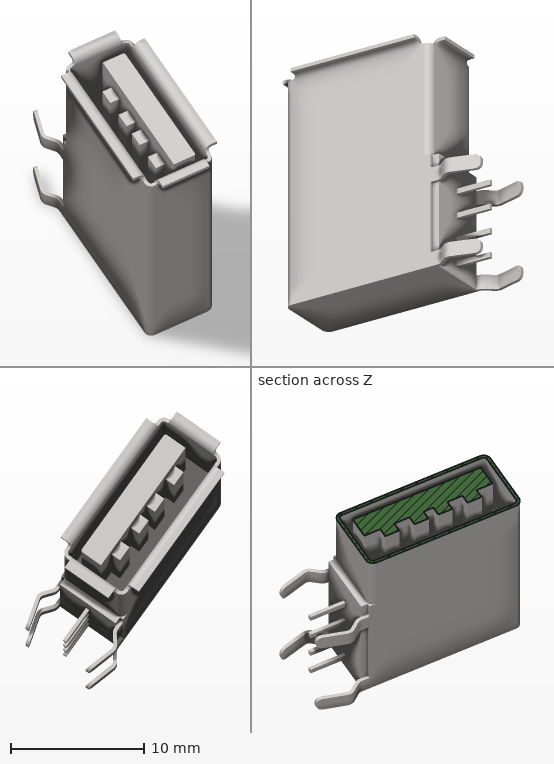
import cadquery as cq
import math


height = 19.2
shell_x = 13.1
shell_y = 5.7
sheet = 0.29
corner_radius = 0.58
inner_corner_radius = corner_radius - sheet
inner_x = shell_x - 2 * sheet
inner_y = shell_y - 2 * sheet

lip_overhang = 0.75
lip_bend_outer = 0.58
lip_bend_inner = lip_bend_outer - sheet
lip_length_x = 11.14
lip_length_y = 4.03
notch_depth = 0.6
notch_radius = 0.35
bend_start_z = height - lip_bend_outer
notch_z = height - notch_depth

housing_top = 9.33
housing_left = -7.12

tongue_x = 10.98
tongue_back = 1.82
tongue_front = -0.05
tongue_top = 18.6
tongue_corner_radius = 0.15
contact_width = 1.23
contact_front = -0.85
contact_top = 17.07
contact_inner_x = 1.02
contact_outer_x = 3.51

pin_tip = -10.14
pin_y = 0.29
pin_z = 0.42
pin_first_z = 1.13
pin_pitch = 2.0
pin_count = 4

leg_tip = -11.12
leg_width = 1.2
leg_bottoms = (0.0, 6.99)
leg_root_bend_x = -7.41
leg_knee_x = -8.45
leg_rise_angle = math.radians(38.5)
leg_return_angle = math.radians(16)
leg_root_radius = 0.58
leg_knee_radius = 0.46
leg_tip_radius = 0.48
leg_shoulder_radius = 0.15


def box(x0, x1, y0, y1, z0, z1):
    """Box given by its limits along each axis."""
    return cq.Workplane("XY").box(x1 - x0, y1 - y0, z1 - z0, centered=False).translate((x0, y0, z0))


def rounded_block(size_x, size_y, radius, z0, z1):
    """Upright centred block with rounded vertical edges."""
    block = box(-size_x / 2, size_x / 2, -size_y / 2, size_y / 2, z0, z1)
    return block.edges("|Z").fillet(radius)


def lip(wall_offset, length):
    """Lip along X that bends outward from a wall whose outer face is at y = -wall_offset."""
    tip = -wall_offset - lip_overhang
    bend_y = -wall_offset - lip_bend_inner
    diagonal = math.sqrt(0.5)
    under_mid = (bend_y + lip_bend_inner * diagonal, bend_start_z + lip_bend_inner * diagonal)
    top_mid = (bend_y + lip_bend_outer * diagonal, bend_start_z + lip_bend_outer * diagonal)
    strip_length = length + 2 * notch_radius
    return (
        cq.Workplane("YZ")
        .moveTo(-wall_offset, bend_start_z)
        .threePointArc(under_mid, (bend_y, height - sheet))
        .lineTo(tip, height - sheet)
        .lineTo(tip, height)
        .lineTo(bend_y, height)
        .threePointArc(top_mid, (-wall_offset + sheet, bend_start_z))
        .close()
        .extrude(strip_length / 2, both=True)
    )


def corner_notch():
    """Relief at the +X +Y corner of the mouth, rounded where it meets the lip ends."""
    lip_end_x = lip_length_x / 2
    lip_end_y = lip_length_y / 2
    notch = box(lip_end_x, shell_x, lip_end_y, shell_y, notch_z, height)
    return notch.edges("<Z and (<X or <Y)").fillet(notch_radius)


def make_shell():
    tube = rounded_block(shell_x, shell_y, corner_radius, 0, bend_start_z)
    tube = tube.cut(rounded_block(inner_x, inner_y, inner_corner_radius, 0, bend_start_z))
    for angle in (0, 180):
        tube = tube.union(lip(shell_y / 2, lip_length_x).rotate((0, 0, 0), (0, 0, 1), angle))
        tube = tube.union(lip(shell_x / 2, lip_length_y).rotate((0, 0, 0), (0, 0, 1), angle + 90))

    notch = corner_notch()
    for half in (notch, notch.mirror("YZ")):
        tube = tube.cut(half).cut(half.mirror("XZ"))

    left = -shell_x / 2
    tube = tube.cut(box(left, left + corner_radius, -shell_y / 2, shell_y / 2, 0, housing_top))
    for y0 in (-shell_y / 2, shell_y / 2 - sheet):
        tube = tube.union(box(left, left + corner_radius, y0, y0 + sheet, 0, housing_top))
    return tube


def make_leg():
    """Springy leg on the +Y wall, bent outward and then back in, standing on Z = 0."""
    start = (-shell_x / 2 + corner_radius, shell_y / 2)
    root = (leg_root_bend_x, shell_y / 2)
    knee = (leg_knee_x, root[1] + (leg_root_bend_x - leg_knee_x) * math.tan(leg_rise_angle))
    tip = (leg_tip, knee[1] - (leg_knee_x - leg_tip) * math.tan(leg_return_angle))

    root_shift = sheet * math.tan(leg_rise_angle / 2)
    knee_bisector = (leg_rise_angle - leg_return_angle) / 2
    knee_shift = sheet / math.cos((leg_rise_angle + leg_return_angle) / 2)
    inner_knee = (
        knee[0] - knee_shift * math.sin(knee_bisector),
        knee[1] - knee_shift * math.cos(knee_bisector),
    )
    inner_tip = (leg_tip, tip[1] - sheet / math.cos(leg_return_angle))
    inner_root = (root[0] - root_shift, root[1] - sheet)
    inner_start = (start[0], start[1] - sheet)

    leg = (
        cq.Workplane("XY")
        .polyline([start, root, knee, tip, inner_tip, inner_knee, inner_root, inner_start])
        .close()
        .extrude(leg_width)
    )
    bends = (
        (root, leg_root_radius),
        (inner_root, leg_root_radius + sheet),
        (knee, leg_knee_radius + sheet),
        (inner_knee, leg_knee_radius),
    )
    for (x, y), radius in bends:
        leg = leg.edges(cq.NearestToPointSelector((x, y, leg_width / 2))).fillet(radius)
    return leg.faces("<X").edges("|Y").fillet(leg_tip_radius)


def make_shoulder():
    """Small concave fillet where the +Y wall edge runs into the top of the upper leg."""
    x = -shell_x / 2
    z = leg_bottoms[-1] + leg_width
    r = leg_shoulder_radius
    block = box(x - r, x, shell_y / 2 - sheet, shell_y / 2, z, z + r)
    round_cut = cq.Workplane("XZ").center(x - r, z + r).circle(r).extrude(shell_y, both=True)
    return block.cut(round_cut)


def make_housing():
    body = rounded_block(inner_x, inner_y, inner_corner_radius, 0, housing_top)
    body = body.union(box(housing_left, 0, -inner_y / 2, inner_y / 2, 0, housing_top))
    tongue = box(-tongue_x / 2, tongue_x / 2, tongue_front, tongue_back, housing_top, tongue_top)
    tongue = tongue.edges("|Z and >Y").fillet(tongue_corner_radius)
    return body.union(tongue)


result = make_shell().union(make_housing())

for contact_x in (-contact_outer_x, -contact_inner_x, contact_inner_x, contact_outer_x):
    contact_left = contact_x - contact_width / 2
    contact_right = contact_x + contact_width / 2
    contact = box(contact_left, contact_right, contact_front, tongue_front, housing_top, contact_top)
    result = result.union(contact)

for index in range(pin_count):
    pin_bottom = pin_first_z + index * pin_pitch - pin_z / 2
    pin = box(pin_tip, housing_left, -pin_y / 2, pin_y / 2, pin_bottom, pin_bottom + pin_z)
    result = result.union(pin)

for leg_bottom in leg_bottoms:
    leg = make_leg().translate((0, 0, leg_bottom))
    result = result.union(leg).union(leg.mirror("XZ"))

shoulder = make_shoulder()
result = result.union(shoulder).union(shoulder.mirror("XZ"))